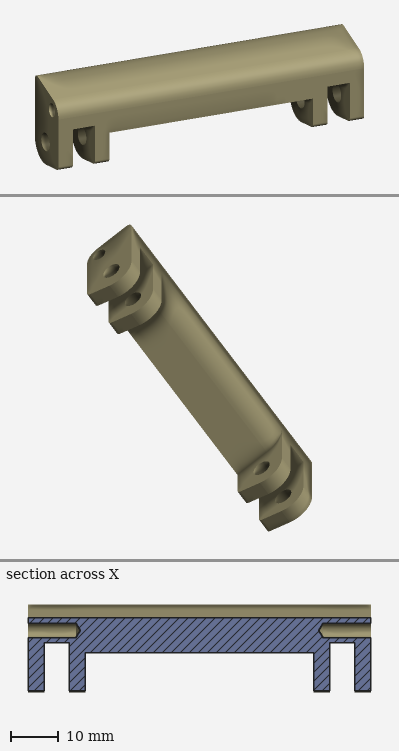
import cadquery as cq
import math

width = 11.0
length = 72.0
height = 18.5

roof_angle = math.radians(22)
nose_radius = 1.0
shoulder_radius = 4.0
heel_radius = 5.0
toe_radius = 0.8
base_angle = math.radians(5)

ear_thickness = 3.4
hinge_length = 12.0
slot_width = hinge_length - 2 * ear_thickness
slot_front_height = 13.8
slot_angle = math.radians(23)
pin_diameter = 4.0

span_length = length - 2 * hinge_length
span_edge_height = 15.5
span_radius = 6.0

screw_diameter = 3.0
screw_depth = 10.0
screw_x = 8.0
screw_z = 13.0
drill_tip_angle = math.radians(118)


def on_circle(center, radius, angle):
    """Point on a circle; the angle is measured from +X towards +Z."""
    return (center[0] + radius * math.cos(angle), center[1] + radius * math.sin(angle))


def arc_to(sketch, center, radius, start, end):
    """Continue the sketch with an arc from its current point at the start angle."""
    middle = on_circle(center, radius, (start + end) / 2)
    return sketch.threePointArc(middle, on_circle(center, radius, end))


def extrude_along_y(sketch, y_start, depth):
    """Extrude a closed X-Z sketch towards +Y from y_start."""
    return sketch.close().extrude(-depth).translate((0, y_start, 0))


def make_body():
    """Full-length prism with four rounded corners joined by tangent lines."""
    left, down, right, up = math.pi, 1.5 * math.pi, 2 * math.pi, math.pi / 2
    roof_normal = up - roof_angle
    base_normal = down + base_angle

    nose = (nose_radius, height - nose_radius)
    heel = (heel_radius, heel_radius)
    shoulder_x = width - shoulder_radius
    shoulder_drop = (shoulder_x - nose[0]) * math.sin(roof_angle) + shoulder_radius - nose_radius
    shoulder = (shoulder_x, nose[1] - shoulder_drop / math.cos(roof_angle))
    toe_x = width - toe_radius
    toe_rise = (toe_x - heel[0]) * math.sin(base_angle) - heel_radius + toe_radius
    toe = (toe_x, heel[1] + toe_rise / math.cos(base_angle))

    sketch = cq.Workplane("XZ").moveTo(*on_circle(heel, heel_radius, left))
    sketch = arc_to(sketch, heel, heel_radius, left, base_normal)
    sketch = sketch.lineTo(*on_circle(toe, toe_radius, base_normal))
    sketch = arc_to(sketch, toe, toe_radius, base_normal, right)
    sketch = sketch.lineTo(width, shoulder[1])
    sketch = arc_to(sketch, shoulder, shoulder_radius, 0, roof_normal)
    sketch = sketch.lineTo(*on_circle(nose, nose_radius, roof_normal))
    sketch = arc_to(sketch, nose, nose_radius, roof_normal, left)
    return extrude_along_y(sketch, -length / 2, length)


def span_cut():
    """Space below the middle span: a rounded front edge running into a sloped underside."""
    center = (span_radius, span_edge_height)
    underside_normal = 1.5 * math.pi - roof_angle
    slope_start = on_circle(center, span_radius, underside_normal)
    back_height = slope_start[1] - (width - slope_start[0]) * math.tan(roof_angle)
    sketch = cq.Workplane("XZ").moveTo(0, span_edge_height)
    sketch = arc_to(sketch, center, span_radius, math.pi, underside_normal)
    sketch = sketch.lineTo(width, back_height).lineTo(width, 0).lineTo(0, 0)
    return extrude_along_y(sketch, -span_length / 2, span_length)


def slot_cut(side):
    """Slot with a sloped ceiling between the two ears at one end (side is -1 or 1)."""
    back_height = slot_front_height - width * math.tan(slot_angle)
    corners = [(0, 0), (width, 0), (width, back_height), (0, slot_front_height)]
    slot_center = side * (length - hinge_length) / 2
    return extrude_along_y(cq.Workplane("XZ").polyline(corners), slot_center - slot_width / 2, slot_width)


def pin_hole():
    """Hinge pin bore through all the ears, concentric with the heel."""
    sketch = cq.Workplane("XZ").center(heel_radius, heel_radius).circle(pin_diameter / 2)
    return sketch.extrude(length / 2, both=True)


def screw_hole():
    """Blind hole with a drill-point bottom, entering the -Y end face."""
    radius = screw_diameter / 2
    tip_depth = screw_depth + radius / math.tan(drill_tip_angle / 2)
    half_section = [(0, 0), (radius, 0), (radius, screw_depth), (0, tip_depth)]
    drill = cq.Workplane("XY").polyline(half_section).close().revolve(360, (0, 0, 0), (0, 1, 0))
    return drill.translate((screw_x, -length / 2, screw_z))


result = make_body().cut(span_cut()).cut(pin_hole())
for side in (-1, 1):
    result = result.cut(slot_cut(side))
front_screw_hole = screw_hole()
result = result.cut(front_screw_hole).cut(front_screw_hole.mirror("XZ"))